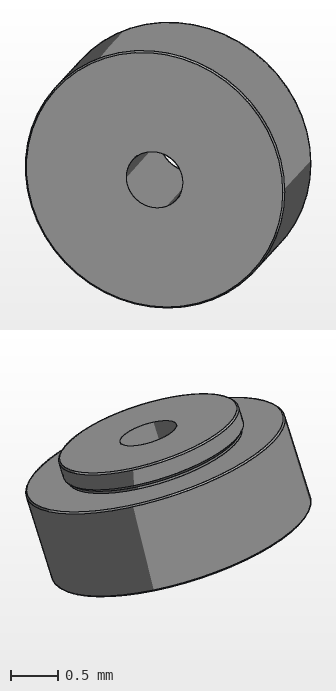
import cadquery as cq

disc_diameter = 2.88
disc_length = 1.0
total_length = 1.25
shoulder_diameter = 2.002
neck_diameter = 1.935
bore_diameter = 0.628
edge_chamfer = 0.017
neck_length = 0.025

disc_radius = disc_diameter / 2
shoulder_radius = shoulder_diameter / 2
neck_radius = neck_diameter / 2
bore_radius = bore_diameter / 2
neck_end = disc_length + neck_length
shoulder_start = neck_end + shoulder_radius - neck_radius

half_profile = (
    cq.Workplane("XY")
    .moveTo(bore_radius, 0)
    .lineTo(disc_radius - edge_chamfer, 0)
    .lineTo(disc_radius, edge_chamfer)
    .lineTo(disc_radius, disc_length - edge_chamfer)
    .lineTo(disc_radius - edge_chamfer, disc_length)
    .lineTo(neck_radius, disc_length)
    .lineTo(neck_radius, neck_end)
    .lineTo(shoulder_radius, shoulder_start)
    .lineTo(shoulder_radius, total_length - edge_chamfer)
    .lineTo(shoulder_radius - edge_chamfer, total_length)
    .lineTo(bore_radius, total_length)
    .close()
)

result = half_profile.revolve(360, (0, 0, 0), (0, 1, 0))